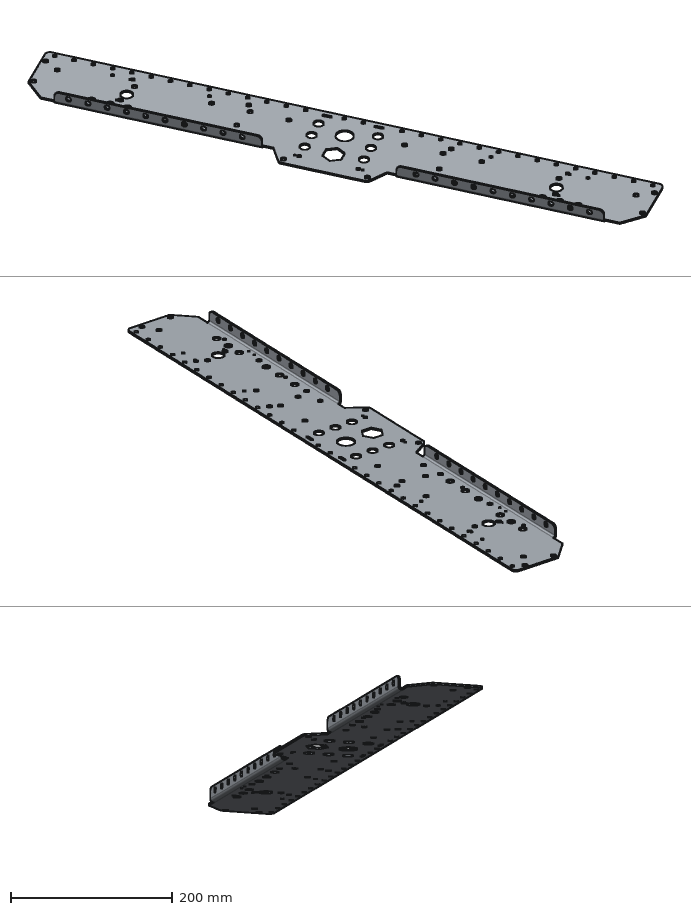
import cadquery as cq
import math

length = 813.0
pitch = length / 32
depth = 37 * pitch / 8
height = 19.0
thickness = 2.5
half_length = length / 2
rear = depth / 2

tab_half_width = 58.5
tab_root_half_width = 75.0
corner_cut = 25.0
corner_radius = 6.5

flange_inner_x = 89.0
flange_outer_x = 362.0
bend_inner_radius = 2.5
bend_outer_radius = bend_inner_radius + thickness
flange_face_inset = 97.0
wing_front = rear - flange_face_inset + bend_outer_radius
flange_hole_diameter = 6.8
flange_hole_height = 12.0
flange_first_hole_x = 4.5 * pitch
flange_hole_count = 10

edge_hole_diameter = 5.0
edge_hole_inset = 6.0
edge_hole_count = 32
slot_place = 1.5 * pitch
slot_length = 12.0
slot_width = 3.0
slot_x = 34.0
slot_inset = 8.0

bore_diameter = 23.0
bore_inset = 39.0
hex_sides = 6
hex_corner_diameter = 28.5
hex_inset = 80.0
port_diameter = 13.0
port_x = 39.0
port_count = 3
port_first_inset = 26.0

mirrored_holes = [
    (16.0, [(283.0, 50.0)]),
    (10.0, [(x, 80.0) for x in (162.5, 194.0, 222.0)]),
    (10.0, [(x, 75.5) for x in (273.0, 296.0, 320.0)]),
    (6.75, [(place * pitch, 32.0) for place in (3, 5, 7, 11, 15)]),
    (6.75, [(x, inset) for x in (133.0, 401.0) for inset in (19.5, 63.0)]),
    (4.0, [(x, inset) for x in (185.0, 313.0) for inset in (19.0, 82.0)]),
    (6.75, [(108.0, 79.0), (140.0, 81.0), (241.0, 83.0)]),
    (6.75, [(55.0, 110.0), (286.0, 63.0)]),
    (5.0, [(286.0, 19.0), (39.0, 97.5)]),
    (2.5, [(45.0, 97.5), (257.0, 87.0), (269.0, 87.0), (289.0, 19.5), (291.0, 65.0)]),
]


def mirrored(points):
    """Place points given as (X, inset) on both sides of X = 0."""
    return [(side * x, rear - inset) for side in (-1, 1) for x, inset in points]


def make_plate():
    right_side = [
        (half_length, rear),
        (half_length, wing_front + corner_cut),
        (half_length - corner_cut, wing_front),
        (tab_root_half_width, wing_front),
        (tab_half_width, -rear),
    ]
    left_side = [(-x, y) for x, y in reversed(right_side)]
    plate = cq.Workplane("XY").polyline(right_side + left_side).close().extrude(thickness)
    return plate.edges("|Z and (>Y or <Y)").fillet(corner_radius)


def make_flange():
    """Bent-up flange of the +X wing; profile Y is measured from the wing front."""
    diagonal = math.sqrt(0.5)
    outer_middle = (-bend_outer_radius * diagonal, bend_outer_radius * (1 - diagonal))
    inner_middle = (-bend_inner_radius * diagonal, bend_outer_radius - bend_inner_radius * diagonal)
    flange = (
        cq.Workplane("YZ", origin=(flange_inner_x, wing_front, 0))
        .moveTo(0, 0)
        .threePointArc(outer_middle, (-bend_outer_radius, bend_outer_radius))
        .lineTo(-bend_outer_radius, height)
        .lineTo(-bend_inner_radius, height)
        .lineTo(-bend_inner_radius, bend_outer_radius)
        .threePointArc(inner_middle, (0, thickness))
        .close()
        .extrude(flange_outer_x - flange_inner_x)
        .edges("|Y and >Z")
        .fillet(corner_radius)
    )
    hole_places = [
        (flange_first_hole_x + step * pitch, flange_hole_height) for step in range(flange_hole_count)
    ]
    holes = (
        cq.Workplane("XZ", origin=(0, wing_front, 0))
        .pushPoints(hole_places)
        .circle(flange_hole_diameter / 2)
        .extrude(bend_outer_radius)
    )
    return flange.cut(holes)


def round_cutter(diameter, points):
    return cq.Workplane("XY").pushPoints(points).circle(diameter / 2).extrude(thickness)


def edge_row_cutter():
    places = [(step + 0.5) * pitch for step in range(edge_hole_count // 2)]
    points = [(x, edge_hole_inset) for x in places if x != slot_place]
    slots = (
        cq.Workplane("XY")
        .pushPoints(mirrored([(slot_x, slot_inset)]))
        .slot2D(slot_length, slot_width)
        .extrude(thickness)
    )
    return round_cutter(edge_hole_diameter, mirrored(points)).add(slots).combine()


def centre_cutter():
    bore = round_cutter(bore_diameter, [(0, rear - bore_inset)])
    ports = round_cutter(
        port_diameter,
        mirrored([(port_x, port_first_inset + row * pitch) for row in range(port_count)]),
    )
    hexagon = (
        cq.Workplane("XY")
        .polygon(hex_sides, hex_corner_diameter)
        .extrude(thickness)
        .rotate((0, 0, 0), (0, 0, 1), 180 / hex_sides)
        .translate((0, rear - hex_inset, 0))
    )
    return bore.add(ports).add(hexagon).combine()


flange = make_flange()
result = make_plate().union(flange).union(flange.mirror("YZ"))
result = result.cut(edge_row_cutter()).cut(centre_cutter())
for diameter, points in mirrored_holes:
    result = result.cut(round_cutter(diameter, mirrored(points)))